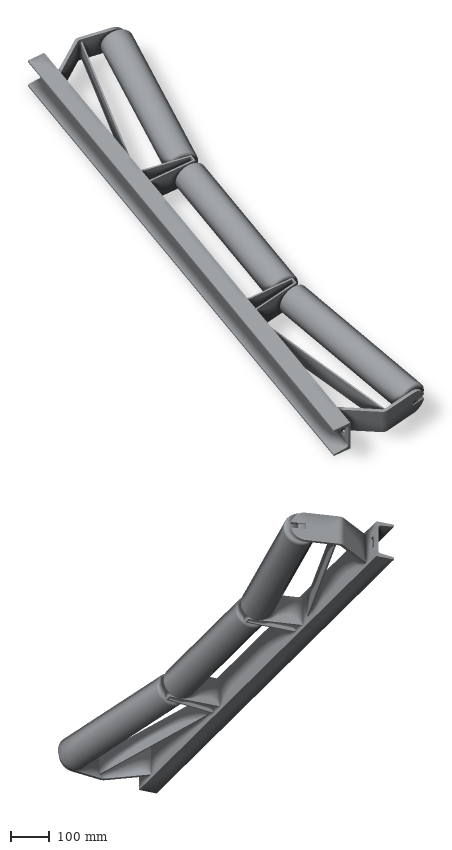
import cadquery as cq
import math

BEAM_LENGTH = 1499.0
BEAM_DEPTH = 50.0
BEAM_HEIGHT = 100.0
WEB_THICKNESS = 6.0
FLANGE_TIP_THICKNESS = 6.0
FLANGE_ROOT_THICKNESS = 10.0
ROOT_RADIUS = 8.0
SLOT_WIDTH = 18.0
SLOT_HEIGHT = 32.0
SLOT_CORNER_RADIUS = 6.0
SLOT_SPACING = 1446.0

ROLLER_LENGTH = 466.0
ROLLER_RADIUS = 89.0 / 2
ROLLER_EDGE_RADIUS = 8.0
SHAFT_WIDTH = 15.0
SHAFT_HEIGHT = 20.0
SHAFT_STICKOUT = 10.0
MIDDLE_ROLLER_Y = 170.0
SIDE_ROLLER_X = 496.0
SIDE_ROLLER_Y = 212.0
TILT = 10

INNER_SHEET = 5.0
OUTER_SHEET = 9.0
BRACE_SHEET = 5.0
BEND_INNER_RADIUS = 10.0
TOP_ARC_DROP = 9.0
SUPPORT_WIDTH = 79.0
BRACE_WIDTH = 57.0
INNER_GAP = 5.0
OUTER_GAP = 5.0
BRIDGE_Y = 189.0
BEND_Y = 151.0
LEG_FOOT_X = 679.0
BRACE_TOP_Y = 162.0
BRACE_FOOT_X = 319.0

FOOT_OVERRUN = 15.0
BRACE_OVERRUN = 30.0

tilt_cos = math.cos(math.radians(TILT))
tilt_sin = math.sin(math.radians(TILT))


def left_roller_point(axial, radial):
    """XY point at an axial and a radial offset from the left roller's centre."""
    x = -SIDE_ROLLER_X + axial * tilt_cos + radial * tilt_sin
    y = SIDE_ROLLER_Y - axial * tilt_sin + radial * tilt_cos
    return x, y


outer_plate_axial = -(ROLLER_LENGTH / 2 + OUTER_GAP + OUTER_SHEET / 2)
outer_plate_axis = left_roller_point(outer_plate_axial, 0)


def point_at_height(start, direction, y):
    """Point where a line reaches the height y."""
    run = (y - start[1]) / direction[1]
    return start[0] + run * direction[0], y


def past(start, end, overrun):
    """End point of a line after lengthening it by overrun."""
    scale = overrun / math.dist(start, end)
    return end[0] + scale * (end[0] - start[0]), end[1] + scale * (end[1] - start[1])


def bent_sheet(path, width, thickness):
    """Sheet strip with mitred bends that follows a centre-line path in XY."""
    normals = []
    for start, end in zip(path, path[1:]):
        length = math.dist(start, end)
        normals.append(((start[1] - end[1]) / length, (end[0] - start[0]) / length))
    left, right = [], []
    for point, before, after in zip(path, normals[:1] + normals, normals + normals[-1:]):
        mitre = thickness / 2 / (1 + before[0] * after[0] + before[1] * after[1])
        dx = mitre * (before[0] + after[0])
        dy = mitre * (before[1] + after[1])
        left.append((point[0] + dx, point[1] + dy))
        right.append((point[0] - dx, point[1] - dy))
    outline = left + right[::-1]
    strip = cq.Workplane("XY").polyline(outline).close().extrude(width)
    return strip.translate((0, 0, -width / 2))


def trimmed_to_beam(body):
    """Body with everything below the beam's +Y face removed."""
    below = cq.Workplane("XY").box(
        2 * BEAM_LENGTH, BEAM_DEPTH, 2 * BEAM_HEIGHT, centered=(True, False, True)
    )
    return body.cut(below)


def make_beam():
    """Channel with tapered flanges and a slot near each end of the web."""
    half = BEAM_HEIGHT / 2
    web_inside = BEAM_DEPTH - WEB_THICKNESS
    profile = [
        (BEAM_DEPTH, -half),
        (BEAM_DEPTH, half),
        (0, half),
        (0, half - FLANGE_TIP_THICKNESS),
        (web_inside, half - FLANGE_ROOT_THICKNESS),
        (web_inside, FLANGE_ROOT_THICKNESS - half),
        (0, FLANGE_TIP_THICKNESS - half),
        (0, -half),
    ]
    beam = cq.Workplane("YZ").polyline(profile).close().extrude(BEAM_LENGTH)
    beam = beam.translate((-BEAM_LENGTH / 2, 0, 0))
    at_web_inside = cq.selectors.BoxSelector(
        (-BEAM_LENGTH, web_inside - FLANGE_TIP_THICKNESS, FLANGE_TIP_THICKNESS - half),
        (BEAM_LENGTH, BEAM_DEPTH, half - FLANGE_TIP_THICKNESS),
    )
    beam = beam.edges("|X").edges(at_web_inside).fillet(ROOT_RADIUS)
    for side, outer_edges in ((-1, "<X"), (1, ">X")):
        slot = cq.Workplane("XY").box(SLOT_WIDTH, 2 * BEAM_DEPTH, SLOT_HEIGHT)
        slot = slot.edges("|Y").edges(outer_edges).fillet(SLOT_CORNER_RADIUS)
        beam = beam.cut(slot.translate((side * SLOT_SPACING / 2, BEAM_DEPTH / 2, 0)))
    return beam


def make_roller():
    """Roller along X, centred on the origin, with a flat shaft end on each side."""
    roller = (
        cq.Workplane("YZ")
        .circle(ROLLER_RADIUS)
        .extrude(ROLLER_LENGTH)
        .translate((-ROLLER_LENGTH / 2, 0, 0))
        .edges()
        .fillet(ROLLER_EDGE_RADIUS)
    )
    shaft = cq.Workplane("XY").box(ROLLER_LENGTH + 2 * SHAFT_STICKOUT, SHAFT_HEIGHT, SHAFT_WIDTH)
    return roller.union(shaft)


def shaft_slot(length):
    """Cutter along X for a shaft, open toward +Y."""
    slot = cq.Workplane("XY").box(
        length, 2 * ROLLER_RADIUS, SHAFT_WIDTH, centered=(True, False, True)
    )
    return slot.translate((0, -SHAFT_HEIGHT / 2, 0))


def on_left_roller(body):
    """Move a body from the origin to the left roller's tilted axis."""
    return body.rotate((0, 0, 0), (0, 0, 1), -TILT).translate((-SIDE_ROLLER_X, SIDE_ROLLER_Y, 0))


def make_left_roller():
    return on_left_roller(make_roller())


def make_left_inner_bracket():
    """Inverted U between the left and the middle roller."""
    offset = ROLLER_LENGTH / 2 + INNER_GAP + INNER_SHEET / 2
    upright_x = -offset
    tilted_top = point_at_height(left_roller_point(offset, 0), (tilt_sin, tilt_cos), BRIDGE_Y)
    tilted_foot = point_at_height(tilted_top, (tilt_sin, tilt_cos), BEAM_DEPTH)
    path = [
        past(tilted_top, tilted_foot, FOOT_OVERRUN),
        tilted_top,
        (upright_x, BRIDGE_Y),
        (upright_x, BEAM_DEPTH),
    ]
    bracket = trimmed_to_beam(bent_sheet(path, SUPPORT_WIDTH, INNER_SHEET))
    middle_slot = shaft_slot(2 * INNER_SHEET).translate((upright_x, MIDDLE_ROLLER_Y, 0))
    left_slot = on_left_roller(shaft_slot(2 * INNER_SHEET).translate((offset, 0, 0)))
    return bracket.cut(middle_slot).cut(left_slot)


def outer_plate_point(y):
    """Point on the outer plate's mid-plane at the height y."""
    return point_at_height(outer_plate_axis, (tilt_sin, tilt_cos), y)


def make_left_outer_bracket():
    """Tilted plate with a round top, on a leg that slopes in to the beam."""
    bend = outer_plate_point(BEND_Y)
    foot = (-LEG_FOOT_X, BEAM_DEPTH)
    top = left_roller_point(outer_plate_axial, SUPPORT_WIDTH / 2 - TOP_ARC_DROP)
    bracket = trimmed_to_beam(
        bent_sheet([past(bend, foot, FOOT_OVERRUN), bend, top], SUPPORT_WIDTH, OUTER_SHEET)
    )
    around_bend = cq.selectors.BoxSelector(
        (bend[0] - OUTER_SHEET, bend[1] - OUTER_SHEET, -SUPPORT_WIDTH),
        (bend[0] + OUTER_SHEET, bend[1] + OUTER_SHEET, SUPPORT_WIDTH),
    )
    bracket = bracket.edges("|Z").edges(around_bend).edges(">X").fillet(BEND_INNER_RADIUS)
    bracket = bracket.edges("|Z").edges("<X").fillet(BEND_INNER_RADIUS + OUTER_SHEET)
    square_top = cq.Workplane("XY").box(
        2 * OUTER_SHEET, SUPPORT_WIDTH, 2 * SUPPORT_WIDTH, centered=(True, False, True)
    )
    round_top = cq.Workplane("YZ").circle(SUPPORT_WIDTH / 2).extrude(OUTER_SHEET, both=True)
    corners = square_top.cut(round_top).translate((0, -TOP_ARC_DROP, 0))
    cutter = corners.union(shaft_slot(2 * OUTER_SHEET)).translate((outer_plate_axial, 0, 0))
    return bracket.cut(on_left_roller(cutter))


def make_left_brace(outer_bracket):
    """Flat brace from the outer plate's inner face down to the beam."""
    top = outer_plate_point(BRACE_TOP_Y)
    foot = (-BRACE_FOOT_X, BEAM_DEPTH)
    path = [top, past(top, foot, BRACE_OVERRUN)]
    brace = trimmed_to_beam(bent_sheet(path, BRACE_WIDTH, BRACE_SHEET))
    return brace.cut(outer_bracket)


beam = make_beam()
middle_roller = make_roller().translate((0, MIDDLE_ROLLER_Y, 0))
left_outer_bracket = make_left_outer_bracket()
left_bodies = [
    make_left_roller(),
    make_left_inner_bracket(),
    left_outer_bracket,
    make_left_brace(left_outer_bracket),
]

solids = [beam.val(), middle_roller.val()]
for body in left_bodies:
    solids += [body.val(), body.mirror("YZ").val()]

result = cq.Compound.makeCompound(solids)